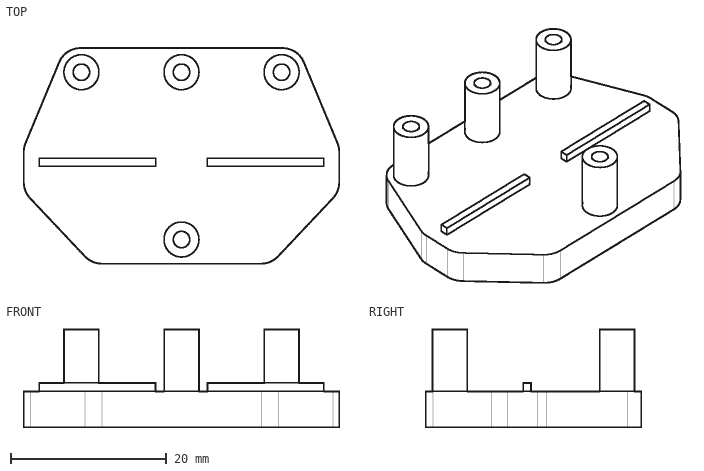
import cadquery as cq

plate_length = 40.6
plate_width = 27.77
plate_height = 4.63
corner_radius = 3.0

back_edge_half_length = 15.0
front_edge_half_length = 11.55
side_edge_back_inset = 12.8
side_edge_front_inset = 9.3

total_height = 12.6
post_height = total_height - plate_height
post_diameter = 4.5
post_hole_diameter = 2.1
post_edge_inset = 3.13
post_spacing = 12.85

rib_length = 15.0
rib_width = 1.0
rib_height = 1.1
rib_end_inset = 2.0
rib_y = -0.8

half_length = plate_length / 2
half_width = plate_width / 2


def make_plate():
    """Eight-sided plate with rounded vertical corners."""
    right_corners = [
        (front_edge_half_length, -half_width),
        (half_length, -half_width + side_edge_front_inset),
        (half_length, half_width - side_edge_back_inset),
        (back_edge_half_length, half_width),
    ]
    left_corners = [(-x, y) for x, y in reversed(right_corners)]
    return (
        cq.Workplane("XY")
        .polyline(right_corners + left_corners)
        .close()
        .extrude(plate_height)
        .edges("|Z")
        .fillet(corner_radius)
    )


def make_posts():
    """Three posts along the back edge and one at the middle of the front edge.

    Each hole is blind and ends at the plate's top face.
    """
    post_y = half_width - post_edge_inset
    centers = [(x, post_y) for x in (-post_spacing, 0, post_spacing)]
    centers.append((0, -post_y))
    return (
        cq.Workplane("XY")
        .workplane(offset=plate_height)
        .pushPoints(centers)
        .circle(post_diameter / 2)
        .circle(post_hole_diameter / 2)
        .extrude(post_height)
    )


def make_ribs():
    """Two ribs in line, one on each side of the plate's centre."""
    rib_x = half_length - rib_end_inset - rib_length / 2
    return (
        cq.Workplane("XY")
        .workplane(offset=plate_height)
        .pushPoints([(-rib_x, rib_y), (rib_x, rib_y)])
        .rect(rib_length, rib_width)
        .extrude(rib_height)
    )


result = make_plate().union(make_posts()).union(make_ribs())